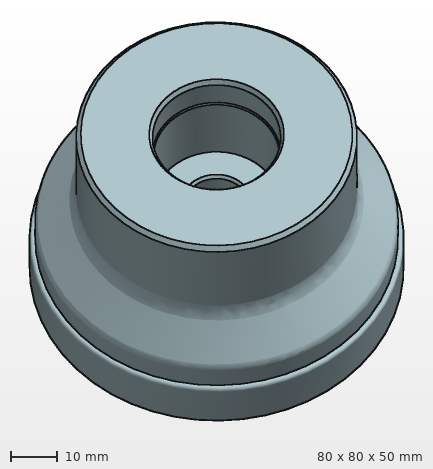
import cadquery as cq

height = 50.0
base_radius = 40.0
shoulder_radius = 38.8
neck_radius = 30.0

base_height = 12.0
shoulder_height = 18.3
cone_height = shoulder_radius - neck_radius

neck_chamfer = 1.0
base_round = 0.8
shoulder_round = 2.0
neck_fillet = 5.0

rim_margin = 0.1

entry_radius = 13.7
entry_depth = 7.6
entry_chamfer_width = 0.7
entry_chamfer_depth = 1.1
bore_radius = 13.4
bore_depth = 25.6
bore_taper_depth = 0.5
hole_radius = 6.9
hole_chamfer = 0.6


def revolve_profile(points):
    """Turn a closed (radius, height) outline into a solid about the Z axis."""
    return cq.Workplane("XZ").polyline(points).close().revolve(360, (0, 0, 0), (0, 1, 0))


def rim_at(radius, z):
    """Select the circular edge of the given radius at height z."""
    reach = radius + rim_margin
    inner = radius - rim_margin
    low = z - rim_margin
    high = z + rim_margin
    outer_box = cq.selectors.BoxSelector((-reach, -reach, low), (reach, reach, high), boundingbox=True)
    inner_box = cq.selectors.BoxSelector((-inner, -inner, low), (inner, inner, high), boundingbox=True)
    return outer_box - inner_box


def make_body():
    """Revolve the stepped, conical outside shape and dress its edges."""
    cone_top = shoulder_height + cone_height
    profile = [
        (0, 0),
        (base_radius, 0),
        (base_radius, base_height),
        (shoulder_radius, base_height),
        (shoulder_radius, shoulder_height),
        (neck_radius, cone_top),
        (neck_radius, height),
        (0, height),
    ]
    body = revolve_profile(profile)
    body = body.edges(rim_at(neck_radius, height)).chamfer(neck_chamfer)
    body = body.edges(rim_at(neck_radius, cone_top)).fillet(neck_fillet)
    body = body.edges(rim_at(shoulder_radius, shoulder_height)).fillet(shoulder_round)
    for z in (0, base_height):
        body = body.edges(rim_at(base_radius, z)).fillet(base_round)
    return body


def make_bore():
    """Revolve the cutter for the chamfered entry, main bore and through hole."""
    entry_bottom = height - entry_depth
    bore_floor = height - bore_depth
    profile = [
        (0, 0),
        (hole_radius, 0),
        (hole_radius, bore_floor - hole_chamfer),
        (hole_radius + hole_chamfer, bore_floor),
        (bore_radius, bore_floor),
        (bore_radius, entry_bottom - bore_taper_depth),
        (entry_radius, entry_bottom),
        (entry_radius, height - entry_chamfer_depth),
        (entry_radius + entry_chamfer_width, height),
        (0, height),
    ]
    return revolve_profile(profile)


result = make_body().cut(make_bore())